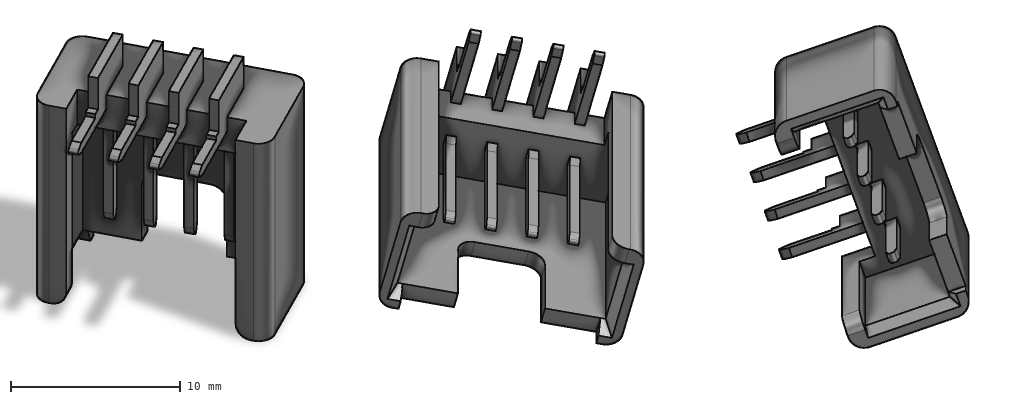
import cadquery as cq
import math


width = 14.7
depth = 7.5
height = 14.2
corner_radius = 1.0
side_wall = 1.05
back_wall = 1.1
lip_depth = 1.1
opening_width = 10.5
foot_radius = 1.0
web_front = 2.09
web_underside = 11.71
back_wall_bottom = 1.04
mouth_flare = 0.5
rear_gap_width = 11.98

notch_width = 5.26
notch_top = 6.0
notch_radius = 1.0

contact_count = 4
contact_pitch = 2.5
contact_width = 0.61
total_height = 16.45
blade_front = 0.51
blade_back = 5.25
tail_reach = 3.3
tail_bottom = 13.18
tail_thickness = 0.74
post_front = 3.39
post_thickness = 0.69
post_bottom = 4.2
tip_length = 0.63
tip_radius = 0.2
barb_bottom = 10.94
barb_edge = 11.58
barb_reach = 0.12

pocket_width = width - 2 * side_wall
pocket_back = depth - back_wall


def block(x_size, y_min, y_max, z_min, z_max):
    """Box centred on X, between the given Y and Z limits."""
    size = (x_size, y_max - y_min, z_max - z_min)
    return cq.Workplane("XY").box(*size, centered=(True, False, False)).translate((0, y_min, z_min))


def lip_gap():
    """Opening between the front lips, whose inner bottom edges are rounded."""
    half = opening_width / 2
    bend = foot_radius * (1 - math.sqrt(0.5))
    return (
        cq.Workplane("XZ")
        .moveTo(-half - foot_radius, 0)
        .lineTo(half + foot_radius, 0)
        .threePointArc((half + bend, bend), (half, foot_radius))
        .lineTo(half, height)
        .lineTo(-half, height)
        .lineTo(-half, foot_radius)
        .threePointArc((-half - bend, bend), (-half - foot_radius, 0))
        .close()
        .extrude(-lip_depth)
    )


def pocket_mouth():
    """Bottom of the pocket, its side walls and back wall sloping outwards as they go down."""
    mouth_half = pocket_width / 2 + mouth_flare
    section = [
        (-mouth_half, 0),
        (mouth_half, 0),
        (pocket_width / 2, back_wall_bottom),
        (-pocket_width / 2, back_wall_bottom),
    ]
    mouth_back = pocket_back + mouth_flare
    across = cq.Workplane("XZ", origin=(0, lip_depth, 0)).polyline(section).close()
    across = across.extrude(lip_depth - mouth_back)
    profile = [
        (lip_depth, 0),
        (mouth_back, 0),
        (pocket_back, back_wall_bottom),
        (lip_depth, back_wall_bottom),
    ]
    along = cq.Workplane("YZ").polyline(profile).close().extrude(mouth_half, both=True)
    return across.intersect(along)


def housing():
    body = block(width, 0, depth, 0, height).edges("|Z").fillet(corner_radius)
    web_setback = block(opening_width, 0, web_front, web_underside, height)
    pocket = block(pocket_width, lip_depth, pocket_back, back_wall_bottom, web_underside)
    rear_gap = block(rear_gap_width, lip_depth, depth, 0, back_wall_bottom)
    notch = block(notch_width, pocket_back, depth, 0, notch_top)
    notch = notch.edges("|Y and >Z").fillet(notch_radius)
    for opening in (lip_gap(), web_setback, pocket, pocket_mouth(), rear_gap, notch):
        body = body.cut(opening)
    return body


def tip_tangent(half_thickness):
    """Where the sloped side of a tip meets its round end: (distance from the end, half width)."""
    run = tip_length - tip_radius
    reach = math.hypot(run, half_thickness)
    slope = math.acos(tip_radius / reach) - math.atan2(run, half_thickness)
    return tip_radius * (1 - math.sin(slope)), tip_radius * math.cos(slope)


def contact():
    """Flat contact: a blade on top, a tail to the front and a barbed post downwards."""
    tail_top = tail_bottom + tail_thickness
    tail_middle = tail_bottom + tail_thickness / 2
    tail_end = -tail_reach
    tail_round, tail_half = tip_tangent(tail_thickness / 2)
    post_back = post_front + post_thickness
    post_middle = post_front + post_thickness / 2
    post_round, post_half = tip_tangent(post_thickness / 2)
    return (
        cq.Workplane("YZ")
        .moveTo(blade_back, total_height)
        .lineTo(blade_front, total_height)
        .lineTo(blade_front, height)
        .lineTo(0, height)
        .lineTo(0, tail_top)
        .lineTo(tail_end + tip_length, tail_top)
        .lineTo(tail_end + tail_round, tail_middle + tail_half)
        .threePointArc((tail_end, tail_middle), (tail_end + tail_round, tail_middle - tail_half))
        .lineTo(tail_end + tip_length, tail_bottom)
        .lineTo(post_front, tail_bottom)
        .lineTo(post_front, barb_edge + barb_reach)
        .lineTo(post_front - barb_reach, barb_edge)
        .lineTo(post_front, barb_bottom)
        .lineTo(post_front, post_bottom + tip_length)
        .lineTo(post_middle - post_half, post_bottom + post_round)
        .threePointArc((post_middle, post_bottom), (post_middle + post_half, post_bottom + post_round))
        .lineTo(post_back, post_bottom + tip_length)
        .lineTo(post_back, tail_bottom)
        .lineTo(blade_back, tail_bottom)
        .close()
        .extrude(contact_width / 2, both=True)
    )


result = housing()
for index in range(contact_count):
    x = (index - (contact_count - 1) / 2) * contact_pitch
    result = result.union(contact().translate((x, 0, 0)))